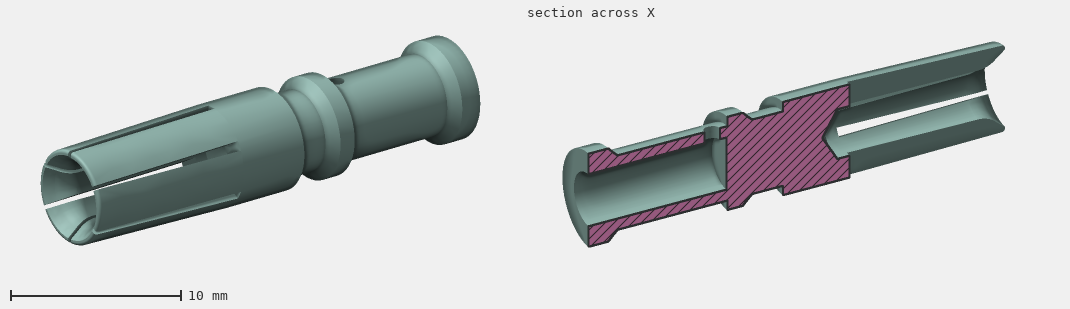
import cadquery as cq
import math

length = 28.0
body_diameter = 6.3
body_radius = body_diameter / 2
neck_radius = 2.52
flare = body_radius - neck_radius

sleeve_end = 14.98
collar_shoulder = 17.02
collar_end = 18.7
rear_shoulder = 26.05

slot_length = 10.5
tip_radius = 2.9
tip_rounding = 0.2

bore_radius = 1.65
bore_depth = 11.3
drill_half_angle = 59.0
mouth_radius = 2.6
lead_in_radius = 2.15
lead_in_depth = 0.55
bell_turn = math.radians(45)

slot_count = 6
slot_root_width = 0.6
slot_tip_width = 0.25

inspection_diameter = 1.0
inspection_position = 19.7
wire_bore_radius = 1.75
wire_bore_depth = 9.25


def make_body():
    outline = (
        cq.Workplane("XY")
        .lineTo(tip_radius - tip_rounding, 0)
        .radiusArc((tip_radius, tip_rounding), -tip_rounding)
        .lineTo(body_radius, slot_length)
        .lineTo(body_radius, sleeve_end)
        .lineTo(neck_radius, sleeve_end)
        .lineTo(neck_radius, collar_shoulder)
        .lineTo(body_radius, collar_shoulder + flare)
        .lineTo(body_radius, collar_end)
        .lineTo(neck_radius, collar_end)
        .lineTo(neck_radius, rear_shoulder)
        .lineTo(body_radius, rear_shoulder + flare)
        .lineTo(body_radius, length)
        .lineTo(0, length)
        .close()
    )
    return outline.revolve(360, (0, 0, 0), (0, 1, 0))


def make_socket_bore():
    bell_radius = (lead_in_radius - bore_radius) / (1 - math.cos(bell_turn))
    bell_start = lead_in_depth + bell_radius * math.sin(bell_turn)
    bell_middle = (
        bore_radius + bell_radius * (1 - math.cos(bell_turn / 2)),
        bell_start - bell_radius * math.sin(bell_turn / 2),
    )
    apex = bore_depth + bore_radius / math.tan(math.radians(drill_half_angle))
    outline = (
        cq.Workplane("XY")
        .lineTo(mouth_radius, 0)
        .lineTo(lead_in_radius, lead_in_depth)
        .threePointArc(bell_middle, (bore_radius, bell_start))
        .lineTo(bore_radius, bore_depth)
        .lineTo(0, apex)
        .close()
    )
    return outline.revolve(360, (0, 0, 0), (0, 1, 0))


def make_slot(angle):
    cutter = (
        cq.Workplane("XY")
        .moveTo(-slot_tip_width / 2, 0)
        .lineTo(slot_tip_width / 2, 0)
        .lineTo(slot_root_width / 2, slot_length)
        .lineTo(-slot_root_width / 2, slot_length)
        .close()
        .extrude(2 * body_radius)
    )
    return cutter.rotate((0, 0, 0), (0, 1, 0), angle)


def make_wire_bore():
    return (
        cq.Workplane("XZ", origin=(0, length, 0))
        .circle(wire_bore_radius)
        .extrude(wire_bore_depth)
    )


def make_inspection_hole():
    return (
        cq.Workplane("XY")
        .center(0, inspection_position)
        .circle(inspection_diameter / 2)
        .extrude(body_radius)
    )


result = make_body().cut(make_socket_bore())
for index in range(slot_count):
    result = result.cut(make_slot(index * 360 / slot_count))
result = result.cut(make_wire_bore()).cut(make_inspection_hole())